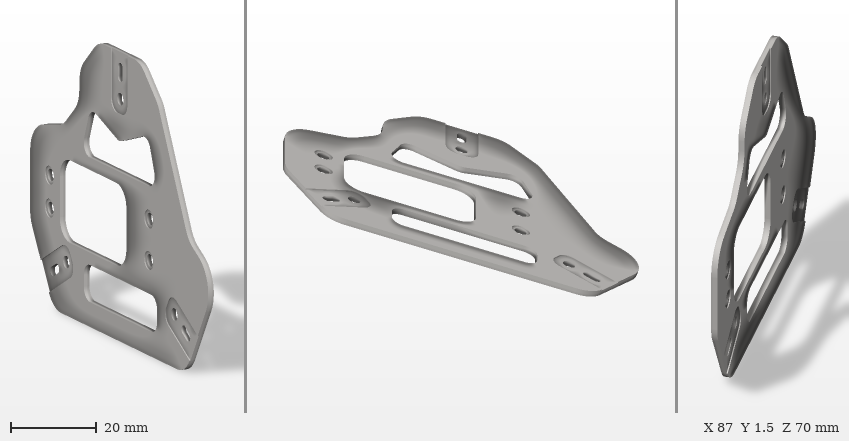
import cadquery as cq
import math

PLATE_THICKNESS = 1.5
PLATE_HALF_WIDTH = 43.5
PLATE_BOTTOM = -28.0
CUT_MARGIN = 1.0

PAD_EDGE_DISTANCE = 42.0
PAD_ANGLES = (90, 210, 330)
LOWER_PAD_TILT = math.radians(30)
PAD_LENGTH = 15.0
PAD_WIDTH = 8.0
PAD_CORNER_RADIUS = 3.0
PAD_DEPTH = 0.3
PAD_HOLE_DISTANCE = 30.5
PAD_HOLE_DIAMETER = 3.0
PAD_SLOT_DISTANCE = 37.0
PAD_SLOT_LENGTH = 4.6
PAD_SLOT_WIDTH = 2.3

BORE_HOLE_DIAMETER = 3.0
COUNTERBORE_DIAMETER = 4.5
COUNTERBORE_DEPTH = 0.3
LEFT_PAIR_X = -34.0
LEFT_PAIR_SPACING = 8.0
RIGHT_PAIR_X = 14.5
RIGHT_PAIR_SPACING = 10.0

WINDOW_LEFT = -29.0
WINDOW_RIGHT = 3.5
WINDOW_HALF_HEIGHT = 10.0
WINDOW_RADIUS = 5.0

LOWER_WINDOW_LEFT = -17.25
LOWER_WINDOW_RIGHT = 18.5
LOWER_WINDOW_BOTTOM = -22.0
LOWER_WINDOW_TOP = -13.0

UPPER_WINDOW_BOTTOM = 13.0
UPPER_WINDOW_BOTTOM_HALF_WIDTH = 18.65
UPPER_WINDOW_PEAK = 25.2
UPPER_WINDOW_PEAK_HALF_WIDTH = 14.05
UPPER_WINDOW_VALLEY = 20.3

SMALL_WINDOW_RADIUS = 3.0

LEFT_SHOULDER = (-PLATE_HALF_WIDTH, 14.0)
LEFT_STEP = (-27.4, 17.85)
LEFT_WAIST = (-19.65, 24.9)
UPPER_LEFT = (-19.25, 33.55)
TOP_EDGE_HALF_LENGTH = 10.2
UPPER_RIGHT = (18.9, 33.85)
RIGHT_WAIST = (33.8, 4.45)
RIGHT_SHOULDER_Z = -2.8
EDGE_RADIUS = 7.0
LEFT_SHOULDER_RADIUS = 8.0
RIGHT_SHOULDER_RADIUS = 9.0
RIGHT_WAIST_RADIUS = 8.0


def slanted_edge_x(z):
    """Distance from x = 0 to the slanted lower pad edges at height z."""
    return (PAD_EDGE_DISTANCE + z * math.sin(LOWER_PAD_TILT)) / math.cos(LOWER_PAD_TILT)


def slanted_edge_z(x):
    """Height at which the slanted lower pad edges are x away from the centre line."""
    return (x * math.cos(LOWER_PAD_TILT) - PAD_EDGE_DISTANCE) / math.sin(LOWER_PAD_TILT)


def rounded_prism(corners, depth):
    """Extrude a polygon of (x, z, radius) corners from y = 0 toward +Y, every corner rounded."""
    arcs = []
    for i, (x, z, radius) in enumerate(corners):
        corner = cq.Vector(x, z)
        before = cq.Vector(*corners[i - 1][:2])
        after = cq.Vector(*corners[(i + 1) % len(corners)][:2])
        to_before = (before - corner).normalized()
        to_after = (after - corner).normalized()
        half_angle = to_before.getAngle(to_after) / 2
        tangent_length = radius / math.tan(half_angle)
        apex_distance = radius / math.sin(half_angle) - radius
        start = corner + to_before * tangent_length
        middle = corner + (to_before + to_after).normalized() * apex_distance
        end = corner + to_after * tangent_length
        arcs.append((start, middle, end))

    first_start = arcs[0][0]
    profile = cq.Workplane("XZ").moveTo(first_start.x, first_start.y)
    for i, (start, middle, end) in enumerate(arcs):
        if i > 0:
            profile = profile.lineTo(start.x, start.y)
        profile = profile.threePointArc((middle.x, middle.y), (end.x, end.y))
    return profile.close().extrude(-depth)


def rectangle_corners(left, right, bottom, top, radius):
    """Four equally rounded corners of an upright rectangle."""
    return [(left, bottom, radius), (right, bottom, radius), (right, top, radius), (left, top, radius)]


def plate_blank():
    """Solid plate with its full outer outline."""
    bottom_x = slanted_edge_x(PLATE_BOTTOM)
    return rounded_prism(
        [
            (*LEFT_SHOULDER, LEFT_SHOULDER_RADIUS),
            (*LEFT_STEP, EDGE_RADIUS),
            (*LEFT_WAIST, EDGE_RADIUS),
            (*UPPER_LEFT, EDGE_RADIUS),
            (-TOP_EDGE_HALF_LENGTH, PAD_EDGE_DISTANCE, EDGE_RADIUS),
            (TOP_EDGE_HALF_LENGTH, PAD_EDGE_DISTANCE, EDGE_RADIUS),
            (*UPPER_RIGHT, EDGE_RADIUS),
            (*RIGHT_WAIST, RIGHT_WAIST_RADIUS),
            (slanted_edge_x(RIGHT_SHOULDER_Z), RIGHT_SHOULDER_Z, RIGHT_SHOULDER_RADIUS),
            (bottom_x, PLATE_BOTTOM, EDGE_RADIUS),
            (-bottom_x, PLATE_BOTTOM, EDGE_RADIUS),
            (-PLATE_HALF_WIDTH, slanted_edge_z(PLATE_HALF_WIDTH), EDGE_RADIUS),
        ],
        PLATE_THICKNESS,
    )


def windows():
    """Cutters for the three large openings."""
    main = rounded_prism(
        rectangle_corners(WINDOW_LEFT, WINDOW_RIGHT, -WINDOW_HALF_HEIGHT, WINDOW_HALF_HEIGHT, WINDOW_RADIUS),
        PLATE_THICKNESS,
    )
    lower = rounded_prism(
        rectangle_corners(
            LOWER_WINDOW_LEFT, LOWER_WINDOW_RIGHT, LOWER_WINDOW_BOTTOM, LOWER_WINDOW_TOP, SMALL_WINDOW_RADIUS
        ),
        PLATE_THICKNESS,
    )
    upper = rounded_prism(
        [
            (-UPPER_WINDOW_BOTTOM_HALF_WIDTH, UPPER_WINDOW_BOTTOM, SMALL_WINDOW_RADIUS),
            (UPPER_WINDOW_BOTTOM_HALF_WIDTH, UPPER_WINDOW_BOTTOM, SMALL_WINDOW_RADIUS),
            (UPPER_WINDOW_PEAK_HALF_WIDTH, UPPER_WINDOW_PEAK, SMALL_WINDOW_RADIUS),
            (0, UPPER_WINDOW_VALLEY, SMALL_WINDOW_RADIUS),
            (-UPPER_WINDOW_PEAK_HALF_WIDTH, UPPER_WINDOW_PEAK, SMALL_WINDOW_RADIUS),
        ],
        PLATE_THICKNESS,
    )
    return main.union(lower).union(upper)


def round_pins(centres, diameter, depth):
    """Cylinders from y = 0 toward +Y, one at each (x, z) centre."""
    return cq.Workplane("XZ").pushPoints(centres).circle(diameter / 2).extrude(-depth)


def pad_cutter(angle):
    """Recess, hole and slot of one pad, built along +X and turned about Y to the given angle."""
    inner_end = PAD_EDGE_DISTANCE - PAD_LENGTH
    outer_end = PAD_EDGE_DISTANCE + CUT_MARGIN
    recess = (
        cq.Workplane("XZ")
        .center((inner_end + outer_end) / 2, 0)
        .rect(outer_end - inner_end, PAD_WIDTH)
        .extrude(-PAD_DEPTH)
        .edges("|Y and <X")
        .fillet(PAD_CORNER_RADIUS)
    )
    hole = round_pins([(PAD_HOLE_DISTANCE, 0)], PAD_HOLE_DIAMETER, PLATE_THICKNESS)
    slot = (
        cq.Workplane("XZ")
        .center(PAD_SLOT_DISTANCE, 0)
        .slot2D(PAD_SLOT_LENGTH, PAD_SLOT_WIDTH)
        .extrude(-PLATE_THICKNESS)
    )
    return recess.union(hole).union(slot).rotate((0, 0, 0), (0, 1, 0), -angle)


def counterbore_pair(x, spacing):
    """Two counterbored holes at equal heights above and below z = 0."""
    centres = [(x, spacing / 2), (x, -spacing / 2)]
    holes = round_pins(centres, BORE_HOLE_DIAMETER, PLATE_THICKNESS)
    bores = round_pins(centres, COUNTERBORE_DIAMETER, COUNTERBORE_DEPTH)
    return holes.union(bores)


result = plate_blank().cut(windows())
for pad_angle in PAD_ANGLES:
    result = result.cut(pad_cutter(pad_angle))
result = result.cut(counterbore_pair(LEFT_PAIR_X, LEFT_PAIR_SPACING))
result = result.cut(counterbore_pair(RIGHT_PAIR_X, RIGHT_PAIR_SPACING))